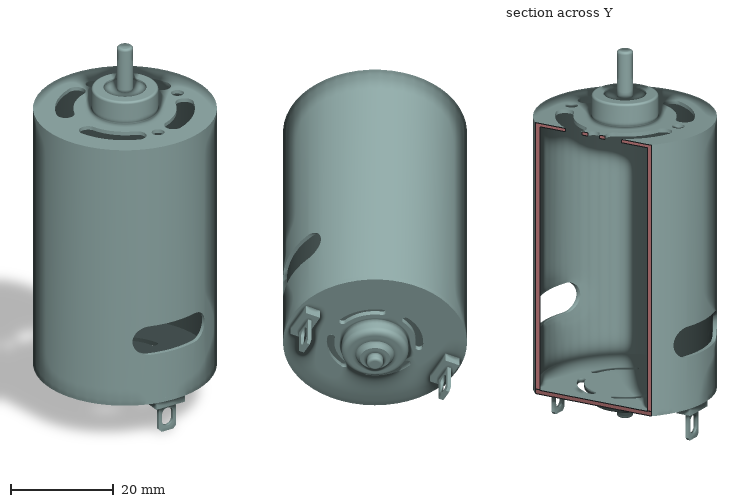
import cadquery as cq
import math

can_diameter = 35.8
can_bore = 34.25
can_top = 63.7
top_plate = 0.8

boss_diameter = 13.0
boss_top = 68.35
boss_fillet = 0.5
boss_base_fillet = 0.15
recess_diameter = 8.35
recess_depth = 0.5
shaft_diameter = 3.2
shaft_top = 77.3
shaft_fillet = 0.55

mount_hole_diameter = 2.5
mount_hole_radius = 12.1
vent_radius = 11.8
vent_width = 3.55
vent_half_angle = 24.5
window_length = 16.55
window_height = 6.3
window_center_z = 21.7

cap_bottom = 7.8
cap_top = 8.7
rear_boss_bottom = 4.6
rear_boss_fillet = 1.15
cone_bottom = 3.55
cone_top_diameter = 7.6
cone_bottom_diameter = 5.9
stub_bottom = 1.85
cap_vent_radius = 8.65
cap_vent_width = 1.5
cap_vent_half_angle = 28.0

terminal_x = 15.15
block_thickness = 3.1
block_width = 6.65
block_bottom = 5.9
blade_thickness = 0.7
blade_width = 3.9
blade_chamfer = 0.6
eye_length = 3.9
eye_width = 2.5
eye_center_z = 3.0


def disc(diameter, bottom, top):
    """Cylinder about the Z axis between two heights."""
    return cq.Workplane("XY").workplane(offset=bottom).circle(diameter / 2).extrude(top - bottom)


def arc_slot(radius, width, half_angle, mid_angle, bottom, top):
    """Round-ended slot that follows a circle about the Z axis."""
    def point(r, degrees):
        angle = math.radians(degrees)
        return (r * math.cos(angle), r * math.sin(angle))

    inner = radius - width / 2
    outer = radius + width / 2
    start = mid_angle - half_angle
    end = mid_angle + half_angle
    tip = math.degrees(2 * math.asin(width / 4 / radius))
    return (
        cq.Workplane("XY").workplane(offset=bottom)
        .moveTo(*point(outer, start))
        .threePointArc(point(outer, mid_angle), point(outer, end))
        .threePointArc(point(radius, end + tip), point(inner, end))
        .threePointArc(point(inner, mid_angle), point(inner, start))
        .threePointArc(point(radius, start - tip), point(outer, start))
        .close()
        .extrude(top - bottom)
    )


def cut_vents(body, radius, width, half_angle, bottom, top):
    """Cut four arc slots, one in the middle of each quadrant."""
    for mid_angle in (45, 135, 225, 315):
        body = body.cut(arc_slot(radius, width, half_angle, mid_angle, bottom, top))
    return body


def base_flare(seat, direction):
    """Concave ring fillet at the foot of a boss; direction is +1 upward, -1 downward from its seat."""
    inner = boss_diameter / 2
    size = boss_base_fillet
    offset = size * (1 - math.sqrt(0.5))
    return (
        cq.Workplane("XZ")
        .moveTo(inner - size, seat)
        .lineTo(inner + size, seat)
        .threePointArc((inner + offset, seat + direction * offset), (inner, seat + direction * size))
        .lineTo(inner - size, seat + direction * size)
        .close()
        .revolve(360, (0, 0, 0), (0, 1, 0))
    )


def make_can():
    """Hollow can, open below, with its bearing boss and output shaft."""
    plate_bottom = can_top - top_plate
    can = disc(can_diameter, cap_top, can_top).cut(disc(can_bore, cap_top, plate_bottom))

    boss = disc(boss_diameter, can_top, boss_top).faces(">Z").edges().fillet(boss_fillet)
    recess_floor = boss_top - recess_depth
    boss = boss.cut(disc(recess_diameter, recess_floor, boss_top))
    shaft = disc(shaft_diameter, recess_floor, shaft_top).faces(">Z").edges().fillet(shaft_fillet)
    can = can.union(boss).union(base_flare(can_top, 1)).union(shaft)

    can = cut_vents(can, vent_radius, vent_width, vent_half_angle, plate_bottom, can_top)
    hole_places = [(-mount_hole_radius, 0), (mount_hole_radius, 0), (0, mount_hole_radius)]
    mount_holes = (
        cq.Workplane("XY").workplane(offset=plate_bottom)
        .pushPoints(hole_places).circle(mount_hole_diameter / 2).extrude(top_plate)
    )
    windows = (
        cq.Workplane("YZ").center(0, window_center_z)
        .slot2D(window_length, window_height).extrude(can_diameter, both=True)
    )
    return can.cut(mount_holes).cut(windows)


def make_terminal(x):
    """Insulating block and pierced solder blade below the end cap."""
    block = (
        cq.Workplane("XY").workplane(offset=block_bottom).center(x, 0)
        .rect(block_thickness, block_width).extrude(cap_bottom - block_bottom)
    )
    blade = (
        cq.Workplane("XY").center(x, 0).rect(blade_thickness, blade_width).extrude(block_bottom)
        .faces("<Z").edges("|X").chamfer(blade_chamfer)
    )
    eye = (
        cq.Workplane("YZ").workplane(offset=x).center(0, eye_center_z)
        .slot2D(eye_length, eye_width, 90).extrude(blade_thickness, both=True)
    )
    return block.union(blade.cut(eye))


def make_end_cap():
    """Closing plate with the rear bearing boss, shaft stub and two terminals."""
    plate = disc(can_diameter, cap_bottom, cap_top)
    plate = cut_vents(plate, cap_vent_radius, cap_vent_width, cap_vent_half_angle, cap_bottom, cap_top)
    rear_boss = (
        disc(boss_diameter, rear_boss_bottom, cap_bottom)
        .faces("<Z").edges().fillet(rear_boss_fillet)
    )
    cone = (
        cq.Workplane("XY").workplane(offset=cone_bottom).circle(cone_bottom_diameter / 2)
        .workplane(offset=rear_boss_bottom - cone_bottom).circle(cone_top_diameter / 2).loft()
    )
    stub = disc(shaft_diameter, stub_bottom, cone_bottom).faces("<Z").edges().fillet(shaft_fillet)
    cap = plate.union(rear_boss).union(base_flare(cap_bottom, -1)).union(cone).union(stub)
    for x in (-terminal_x, terminal_x):
        cap = cap.union(make_terminal(x))
    return cap


can = make_can()
end_cap = make_end_cap()
result = cq.Compound.makeCompound([can.val(), end_cap.val()])